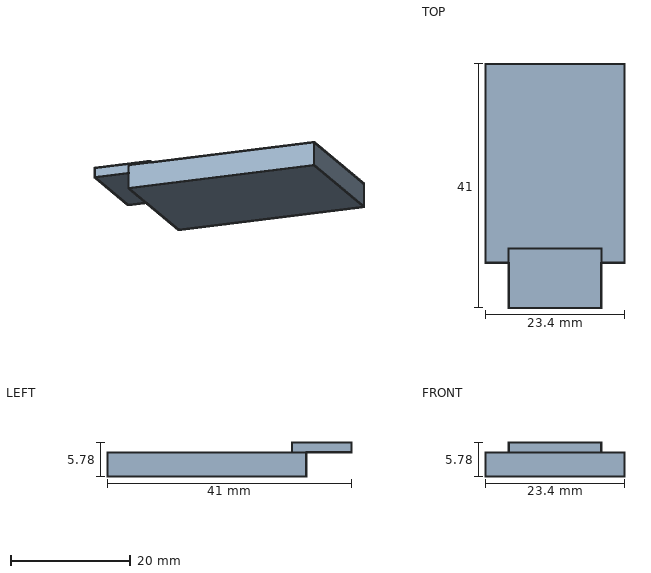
import cadquery as cq

body_width = 23.4
body_length = 33.4
body_height = 4.1

tab_width = 15.6
tab_length = 10.0
overall_height = 5.78
tab_thickness = overall_height - body_height
tab_overlap = 2.4


def make_body():
    """Slab centred on the Z axis, resting on Z = 0."""
    return cq.Workplane("XY").box(
        body_width, body_length, body_height, centered=(True, True, False)
    )


def make_tab():
    """Tab on the slab's top face, overlapping its -Y edge by tab_overlap."""
    body_front_y = -body_length / 2
    tab_center_y = body_front_y + tab_overlap - tab_length / 2
    return (
        cq.Workplane("XY")
        .box(tab_width, tab_length, tab_thickness, centered=(True, True, False))
        .translate((0, tab_center_y, body_height))
    )


result = make_body().union(make_tab())